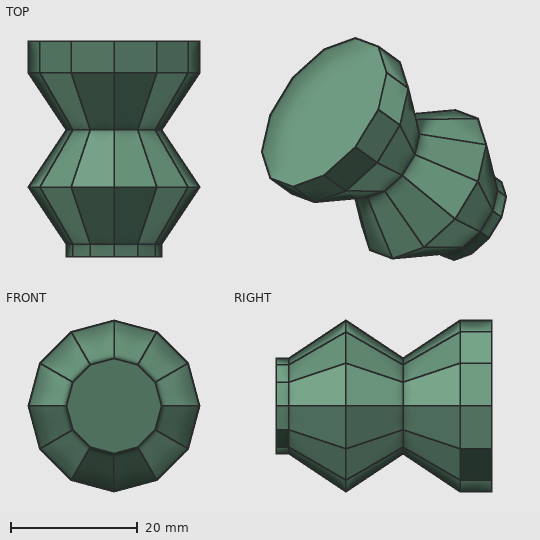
import cadquery as cq

SIDES = 12
WIDE_DIAMETER = 27.0
NARROW_DIAMETER = 15.0
BASE_LENGTH = 5.0
TAPER_LENGTH = 9.0
TIP_LENGTH = 2.0

base_end = BASE_LENGTH
waist = base_end + TAPER_LENGTH
bulge = waist + TAPER_LENGTH
tip_start = bulge + TAPER_LENGTH
tip_end = tip_start + TIP_LENGTH

SECTIONS = [
    (0.0, WIDE_DIAMETER),
    (base_end, WIDE_DIAMETER),
    (waist, NARROW_DIAMETER),
    (bulge, WIDE_DIAMETER),
    (tip_start, NARROW_DIAMETER),
    (tip_end, NARROW_DIAMETER),
]


def section_wire(distance, diameter):
    """Regular polygon normal to Y with corners on the X and Z axes."""
    plane = cq.Workplane("XZ").workplane(offset=distance)
    return plane.polygon(SIDES, diameter).wires().val()


def faceted_body():
    """Flat-sided bands joining consecutive sections."""
    wires = [section_wire(distance, diameter) for distance, diameter in SECTIONS]
    return cq.Workplane(cq.Solid.makeLoft(wires, True))


result = faceted_body()